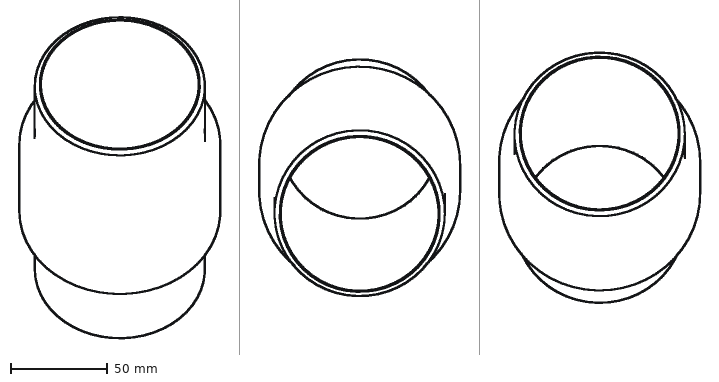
import cadquery as cq

length = 166.0
tube_diameter = 88.6
bore_diameter = 82.2
collar_diameter = 104.7
collar_height = 66.0

collar_edge_radius = 3.3
collar_root_radius = 3.0
end_bevel_width = 2.7
end_bevel_height = 1.5


def make_tube():
    """Solid pipe body with a shallow weld bevel around the outside of both ends."""
    blank = cq.Workplane("XY").cylinder(length, tube_diameter / 2)
    return blank.faces("|Z").edges().chamfer(end_bevel_height, end_bevel_width)


def make_collar():
    """Thick middle sleeve with rounded rims."""
    blank = cq.Workplane("XY").cylinder(collar_height, collar_diameter / 2)
    return blank.faces("|Z").edges().fillet(collar_edge_radius)


def fillet_collar_roots(body):
    """Round the two inside corners where the tube leaves the collar."""
    shoulder_faces = body.faces("|Z").faces(cq.selectors.AreaNthSelector(0))
    root_edges = shoulder_faces.edges(cq.selectors.RadiusNthSelector(0))
    return root_edges.fillet(collar_root_radius)


def cut_bore(body):
    """Open the body from end to end."""
    return body.cut(cq.Workplane("XY").cylinder(length, bore_diameter / 2))


solid_body = make_tube().union(make_collar())
rounded_body = fillet_collar_roots(solid_body)
result = cut_bore(rounded_body)